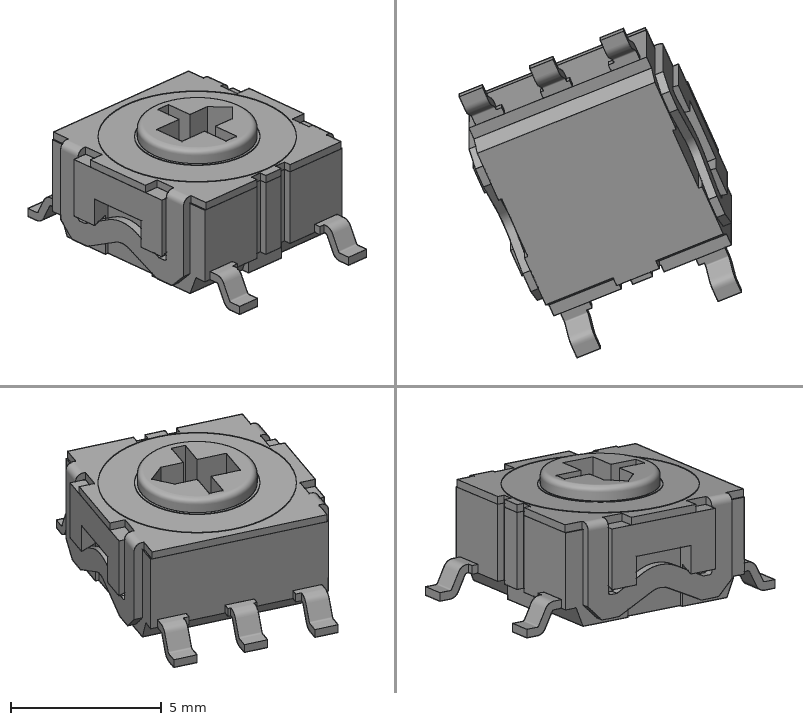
import cadquery as cq
import math

HOUSING_BOTTOM = 0.1
HOUSING_TOP = 3.46
PLATE_TOP = 3.73
LABEL_TOP = 3.75
KNOB_TOP = 4.25
LEDGE_Z = 0.79

HOUSING_X = 7.2
HOUSING_Y = 6.4
BASE_TOP_HALF_X = 3.18
BASE_BOTTOM_HALF_X = 2.9
SIDE_NOTCH_DEPTH = 0.26
SIDE_NOTCH_WIDTH = 0.41
SIDE_NOTCH_PITCH = 1.13
KEY_WIDTH = SIDE_NOTCH_PITCH + SIDE_NOTCH_WIDTH
KEY_HALF_X = 3.2
WINDOW_HALF_X = 1.1
WINDOW_TOP = 2.34
WINDOW_DEPTH = 0.12

LATCH_HALF_X = 2.08
LATCH_Y = 3.7
LATCH_LIP_Z = 1.35
LATCH_UNDERCUT = 0.4

PLATE_Y = 6.3
TONGUE_WIDTH = 2.6
LEG_THICKNESS = 0.3
LEG_OUTER_X = 2.9
LEG_CORNER_Z = 0.84
STRAP_BOTTOM = 0.3
STRAP_CORNER_X = 2.35
STRAP_BEND_X = 1.66
STRAP_WIDTH = 0.79
STRAP_CREST_RADIUS = 0.73
STRAP_CREST_Z = 1.02
STRAP_INNER_Z = 1.12
STRAP_INNER_FILLET = 0.1

KNOB_RADIUS = 1.99
KNOB_FILLET = 0.2
FLANGE_RADIUS = 2.08
LABEL_RADIUS = 3.29
SLOT_DEPTH = 1.6
ROTOR_FLOOR = 0.3
SLOT_HALF_WIDTH = 0.6
SLOT_TAIL_Y = -1.3
SLOT_SHOULDER_Y = 1.06
SLOT_TIP_Y = 1.64
CROSS_LENGTH = 3.22
CROSS_WIDTH = 0.5

SPAN_X = 10.0
TERMINAL_THICKNESS = 0.3
TERMINAL_WIDTH = 0.84
TERMINAL_PITCH = 2.54
UPPER_BEND_X = 3.91
LOWER_BEND_X = 4.59
INNER_BEND_RADIUS = 0.075
ROOT_LENGTH = 0.24
MIDDLE_ROOT_WIDTH = 1.05
OUTER_ROOT_EXTRA = 0.2

HALF_X = HOUSING_X / 2
HALF_Y = HOUSING_Y / 2
ROTOR_BOTTOM = KNOB_TOP - SLOT_DEPTH - ROTOR_FLOOR


def box(x0, x1, y0, y1, z0, z1):
    """Box between the given limits."""
    return cq.Workplane("XY").box(x1 - x0, y1 - y0, z1 - z0, centered=False).translate((x0, y0, z0))


def both_y_sides(shape):
    """The shape on the -Y side together with its mirror image on the +Y side."""
    return shape.union(shape.mirror("XZ"))


def extrude_y(profile, y0, y1):
    """Extrude an XZ profile from y0 to y1."""
    return profile.extrude(y0 - y1).translate((0, y0, 0))


def strap_legs(y0, y1):
    """U-shaped strap: two legs joined by an arched bar, between y0 and y1."""
    crest_center_z = STRAP_CREST_Z - STRAP_CREST_RADIUS
    drop = crest_center_z - STRAP_BOTTOM
    reach = math.hypot(STRAP_BEND_X, drop)
    slope = math.asin(STRAP_CREST_RADIUS / reach) - math.atan2(drop, STRAP_BEND_X)
    upper_radius = STRAP_CREST_RADIUS + STRAP_WIDTH

    def on_crest(radius):
        return radius * math.sin(slope), crest_center_z + radius * math.cos(slope)

    lower_x, lower_z = on_crest(STRAP_CREST_RADIUS)
    upper_x, upper_z = on_crest(upper_radius)
    upper_crest_z = crest_center_z + upper_radius
    inner_bend_x = upper_x + (upper_z - STRAP_INNER_Z) / math.tan(slope)

    outer = (
        cq.Workplane("XZ")
        .moveTo(-LEG_OUTER_X, HOUSING_TOP)
        .lineTo(-LEG_OUTER_X, LEG_CORNER_Z)
        .lineTo(-STRAP_CORNER_X, STRAP_BOTTOM)
        .lineTo(-STRAP_BEND_X, STRAP_BOTTOM)
        .lineTo(-lower_x, lower_z)
        .threePointArc((0, STRAP_CREST_Z), (lower_x, lower_z))
        .lineTo(STRAP_BEND_X, STRAP_BOTTOM)
        .lineTo(STRAP_CORNER_X, STRAP_BOTTOM)
        .lineTo(LEG_OUTER_X, LEG_CORNER_Z)
        .lineTo(LEG_OUTER_X, HOUSING_TOP)
        .close()
    )
    inner = (
        cq.Workplane("XZ")
        .moveTo(-LATCH_HALF_X, HOUSING_TOP)
        .lineTo(-LATCH_HALF_X, STRAP_INNER_Z)
        .lineTo(-inner_bend_x, STRAP_INNER_Z)
        .lineTo(-upper_x, upper_z)
        .threePointArc((0, upper_crest_z), (upper_x, upper_z))
        .lineTo(inner_bend_x, STRAP_INNER_Z)
        .lineTo(LATCH_HALF_X, STRAP_INNER_Z)
        .lineTo(LATCH_HALF_X, HOUSING_TOP)
        .close()
    )
    opening = extrude_y(inner, y0, y1)
    opening = opening.edges("|Y").edges("<X or >X").edges("<Z").fillet(STRAP_INNER_FILLET)
    return extrude_y(outer, y0, y1).cut(opening)


def side_notches():
    """Two vertical notches through the full height of the +X side."""
    notches = cq.Workplane("XY")
    for side in (-1, 1):
        middle = side * SIDE_NOTCH_PITCH / 2
        notches = notches.union(
            box(
                HALF_X - SIDE_NOTCH_DEPTH, HALF_X,
                middle - SIDE_NOTCH_WIDTH / 2, middle + SIDE_NOTCH_WIDTH / 2,
                HOUSING_BOTTOM, PLATE_TOP,
            )
        )
    return notches


def latch():
    """Latch block on the -Y face, with a sloping underside and an open middle."""
    inner_z = LATCH_LIP_Z + LATCH_UNDERCUT * (LATCH_Y - HALF_Y)
    block = (
        cq.Workplane("YZ")
        .polyline(
            [
                (-HALF_Y, HOUSING_TOP),
                (-LATCH_Y, HOUSING_TOP),
                (-LATCH_Y, LATCH_LIP_Z),
                (-HALF_Y, inner_z),
            ]
        )
        .close()
        .extrude(LATCH_HALF_X, both=True)
    )
    return block.cut(strap_legs(-HALF_Y - LEG_THICKNESS, -HALF_Y))


def make_housing():
    body = box(-HALF_X, HALF_X, -HALF_Y, HALF_Y, LEDGE_Z, HOUSING_TOP)
    base_profile = (
        cq.Workplane("XZ")
        .polyline(
            [
                (-BASE_TOP_HALF_X, LEDGE_Z),
                (-BASE_BOTTOM_HALF_X, HOUSING_BOTTOM),
                (BASE_BOTTOM_HALF_X, HOUSING_BOTTOM),
                (BASE_TOP_HALF_X, LEDGE_Z),
            ]
        )
        .close()
    )
    body = body.union(extrude_y(base_profile, -HALF_Y, HALF_Y))
    body = body.union(box(0, KEY_HALF_X, -KEY_WIDTH / 2, KEY_WIDTH / 2, HOUSING_BOTTOM, LEDGE_Z))
    body = body.union(both_y_sides(latch()))
    window = box(
        -WINDOW_HALF_X, WINDOW_HALF_X, -LATCH_Y, -HALF_Y + WINDOW_DEPTH, HOUSING_BOTTOM, WINDOW_TOP
    )
    body = body.cut(both_y_sides(window)).cut(side_notches())
    bore = cq.Workplane("XY", origin=(0, 0, ROTOR_BOTTOM)).circle(FLANGE_RADIUS)
    return body.cut(bore.extrude(HOUSING_TOP - ROTOR_BOTTOM))


def leg_bends():
    """Rounded bends that join the top plate to the two legs on the -Y side."""
    radius = PLATE_TOP - HOUSING_TOP
    leg_y = HALF_Y + LEG_THICKNESS
    profile = (
        cq.Workplane("YZ")
        .moveTo(0, PLATE_TOP)
        .lineTo(radius - leg_y, PLATE_TOP)
        .radiusArc((-leg_y, HOUSING_TOP), -radius)
        .lineTo(0, HOUSING_TOP)
        .close()
    )
    bend = profile.extrude(LEG_OUTER_X - LATCH_HALF_X).translate((LATCH_HALF_X, 0, 0))
    return bend.union(bend.mirror("YZ"))


def make_cover():
    plate = box(-HALF_X, HALF_X, -PLATE_Y / 2, PLATE_Y / 2, HOUSING_TOP, PLATE_TOP)
    tongues = box(-TONGUE_WIDTH / 2, TONGUE_WIDTH / 2, -LATCH_Y, LATCH_Y, HOUSING_TOP, PLATE_TOP)
    side = leg_bends().union(strap_legs(-HALF_Y - LEG_THICKNESS, -HALF_Y))
    cover = plate.union(tongues).union(both_y_sides(side))
    hole = cq.Workplane("XY", origin=(0, 0, HOUSING_TOP)).circle(FLANGE_RADIUS)
    return cover.cut(hole.extrude(PLATE_TOP - HOUSING_TOP)).cut(side_notches())


def make_label():
    """Thin dial ring on the cover around the rotor."""
    ring = cq.Workplane("XY", origin=(0, 0, PLATE_TOP)).circle(LABEL_RADIUS).circle(FLANGE_RADIUS)
    return ring.extrude(LABEL_TOP - PLATE_TOP)


def make_rotor():
    """Round knob with an arrow-shaped screwdriver slot, on a wider flange flush with the label."""
    flange = cq.Workplane("XY", origin=(0, 0, ROTOR_BOTTOM)).circle(FLANGE_RADIUS)
    knob = flange.extrude(LABEL_TOP - ROTOR_BOTTOM).faces(">Z").workplane().circle(KNOB_RADIUS)
    knob = knob.extrude(KNOB_TOP - LABEL_TOP).faces(">Z").edges().fillet(KNOB_FILLET)
    slot_plane = cq.Workplane("XY", origin=(0, 0, KNOB_TOP))
    arrow = (
        slot_plane.polyline(
            [
                (-SLOT_HALF_WIDTH, SLOT_TAIL_Y),
                (SLOT_HALF_WIDTH, SLOT_TAIL_Y),
                (SLOT_HALF_WIDTH, SLOT_SHOULDER_Y),
                (0, SLOT_TIP_Y),
                (-SLOT_HALF_WIDTH, SLOT_SHOULDER_Y),
            ]
        )
        .close()
        .extrude(-SLOT_DEPTH)
    )
    cross = slot_plane.rect(CROSS_LENGTH, CROSS_WIDTH).extrude(-SLOT_DEPTH)
    return knob.cut(arrow).cut(cross)


def make_terminal(side, row):
    """Gull-wing terminal; side is -1 or 1 along X, row is -1, 0 or 1 along Y."""
    thick = TERMINAL_THICKNESS
    root_top = LEDGE_Z + thick
    inner = INNER_BEND_RADIUS
    outer = inner + thick
    upper_center = (UPPER_BEND_X, LEDGE_Z - inner)
    lower_center = (LOWER_BEND_X, outer)
    run = LOWER_BEND_X - UPPER_BEND_X
    rise = upper_center[1] - lower_center[1]
    slope = math.atan2(rise, run) + math.asin((inner + outer) / math.hypot(run, rise))

    def upper_bend(radius, angle):
        x, z = upper_center
        return x + radius * math.sin(angle), z + radius * math.cos(angle)

    def lower_bend(radius, angle):
        x, z = lower_center
        return x - radius * math.sin(angle), z - radius * math.cos(angle)

    profile = (
        cq.Workplane("XZ")
        .moveTo(HALF_X, LEDGE_Z)
        .lineTo(HALF_X, root_top)
        .lineTo(UPPER_BEND_X, root_top)
        .threePointArc(upper_bend(outer, slope / 2), upper_bend(outer, slope))
        .lineTo(*lower_bend(inner, slope))
        .threePointArc(lower_bend(inner, slope / 2), lower_bend(inner, 0))
        .lineTo(SPAN_X / 2, thick)
        .lineTo(SPAN_X / 2, 0)
        .lineTo(LOWER_BEND_X, 0)
        .threePointArc(lower_bend(outer, slope / 2), lower_bend(outer, slope))
        .lineTo(*upper_bend(inner, slope))
        .threePointArc(upper_bend(inner, slope / 2), upper_bend(inner, 0))
        .close()
    )
    middle = row * TERMINAL_PITCH
    low_y = middle - TERMINAL_WIDTH / 2
    high_y = middle + TERMINAL_WIDTH / 2
    terminal = extrude_y(profile, low_y, high_y)

    middle_extra = (MIDDLE_ROOT_WIDTH - TERMINAL_WIDTH) / 2
    low_extra = {-1: 0, 0: middle_extra, 1: OUTER_ROOT_EXTRA}[row]
    high_extra = {-1: OUTER_ROOT_EXTRA, 0: middle_extra, 1: 0}[row]
    root = box(HALF_X, HALF_X + ROOT_LENGTH, low_y - low_extra, high_y + high_extra, LEDGE_Z, root_top)
    terminal = terminal.union(root)
    return terminal if side > 0 else terminal.mirror("YZ")


housing = make_housing()
cover = make_cover()
label = make_label()
rotor = make_rotor()

terminal_places = [(-1, -1), (-1, 0), (-1, 1), (1, -1), (1, 1)]
terminals = [make_terminal(side, row).val() for side, row in terminal_places]

result = cq.Compound.makeCompound([housing.val(), cover.val(), label.val(), rotor.val(), *terminals])